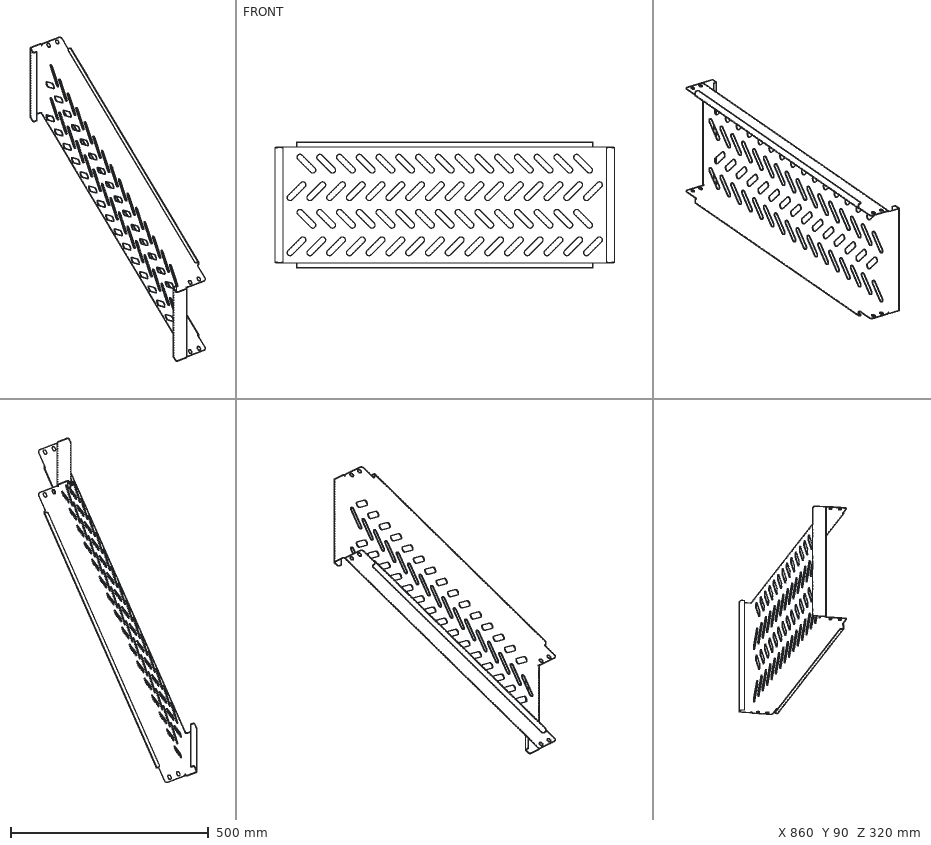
import cadquery as cq

sheet = 2.15
inner_radius = 2.15
mid_radius = inner_radius + sheet / 2
outer_radius = inner_radius + sheet

length = 860.0
depth = 90.0
height = 320.0
front_y = -depth / 2
back_y = depth / 2

panel_front_y = -15.0
flange_length = 853.0
flange_top_z = 147.0
flange_back_y = back_y - outer_radius
flange_corner_radius = 7.0

lip_length = 750.0
lip_return = 10.0
lip_corner_radius = 4.0

wing_height = 290.0
wing_foot = 21.0
wing_return = 10.0

slot_width = 15.0
slot_length = 60.0
slot_tilt = 45
slots_per_long_row = 16
long_row_span = 750.0
slot_pitch = long_row_span / (slots_per_long_row - 1)
row_pitch = 70.0
row_count = 4

mount_width = 7.0
mount_length = 12.0
mount_x = 415.0
mount_back_offset = 20.0
mount_pitch = 24.0

panel_mid_y = panel_front_y + sheet / 2
flange_mid_z = flange_top_z - sheet / 2
panel_end_x = length / 2 - outer_radius


def bent_strip(midline, across, width):
    """Sheet that follows the midline with rounded bends, centred across its width."""
    points = [cq.Vector(*point) for point in midline]
    path = cq.Wire.makePolygon(points).fillet(mid_radius)
    section = cq.Plane(origin=points[0], xDir=across, normal=points[1] - points[0])
    return cq.Workplane(section).rect(width, sheet).sweep(cq.Workplane(obj=path))


def make_channel():
    """Panel and both flanges, with the panel cut back to where the end wings bend away."""
    channel = bent_strip(
        [
            (0, flange_back_y, -flange_mid_z),
            (0, panel_mid_y, -flange_mid_z),
            (0, panel_mid_y, flange_mid_z),
            (0, flange_back_y, flange_mid_z),
        ],
        (1, 0, 0),
        flange_length,
    )
    channel = channel.edges("|Z and >Y").fillet(flange_corner_radius)
    bend_zone = cq.Workplane().box(length, 2 * outer_radius, height)
    panel_core = cq.Workplane().box(2 * panel_end_x, 2 * outer_radius, height)
    end_reliefs = bend_zone.cut(panel_core).translate((0, panel_front_y, 0))
    return channel.cut(end_reliefs)


def make_lip():
    """Top lip: turns up from the flange, then returns towards the front."""
    back_mid_y = back_y - sheet / 2
    top_mid_z = height / 2 - sheet / 2
    lip = bent_strip(
        [
            (0, flange_back_y - sheet, flange_mid_z),
            (0, back_mid_y, flange_mid_z),
            (0, back_mid_y, top_mid_z),
            (0, back_y - lip_return, top_mid_z),
        ],
        (1, 0, 0),
        lip_length,
    )
    return_corners = cq.selectors.BoxSelector(
        (-length, back_y - lip_return - sheet, top_mid_z - sheet),
        (length, back_y - lip_return + sheet, top_mid_z + sheet),
    )
    return lip.edges(return_corners).edges("|Z").fillet(lip_corner_radius)


def make_wing():
    """Right end wing: bends forward off the panel, then in, then back."""
    outer_mid_x = length / 2 - sheet / 2
    foot_mid_y = front_y + sheet / 2
    return_mid_x = length / 2 - wing_foot + sheet / 2
    return bent_strip(
        [
            (panel_end_x - sheet, panel_mid_y, 0),
            (outer_mid_x, panel_mid_y, 0),
            (outer_mid_x, foot_mid_y, 0),
            (return_mid_x, foot_mid_y, 0),
            (return_mid_x, front_y + wing_return, 0),
        ],
        (0, 0, 1),
        wing_height,
    )


def make_vent_slots():
    """Rows of slots whose tilt and count alternate from row to row, top to bottom."""
    slots = cq.Workplane()
    for row in range(row_count):
        is_long_row = row % 2 == 1
        count = slots_per_long_row if is_long_row else slots_per_long_row - 1
        tilt = slot_tilt if is_long_row else -slot_tilt
        row_z = ((row_count - 1) / 2 - row) * row_pitch
        row_slots = (
            cq.Workplane("XZ")
            .center(0, row_z)
            .rarray(slot_pitch, 9, count, 1)
            .slot2D(slot_length, slot_width, tilt)
            .extrude(sheet, both=True)
        )
        slots = slots.add(row_slots)
    return slots.combine().translate((0, panel_mid_y, 0))


def make_mount_slots():
    """Slots through both flanges, two at each end."""
    centre_y = back_y - mount_back_offset - mount_pitch / 2
    return (
        cq.Workplane("XY")
        .center(0, centre_y)
        .rarray(2 * mount_x, mount_pitch, 2, 2)
        .slot2D(mount_length, mount_width)
        .extrude(height / 2, both=True)
    )


top_lip = make_lip()
right_wing = make_wing()

result = (
    make_channel()
    .union(top_lip)
    .union(top_lip.mirror("XY"))
    .union(right_wing)
    .union(right_wing.mirror("YZ"))
    .cut(make_vent_slots())
    .cut(make_mount_slots())
)